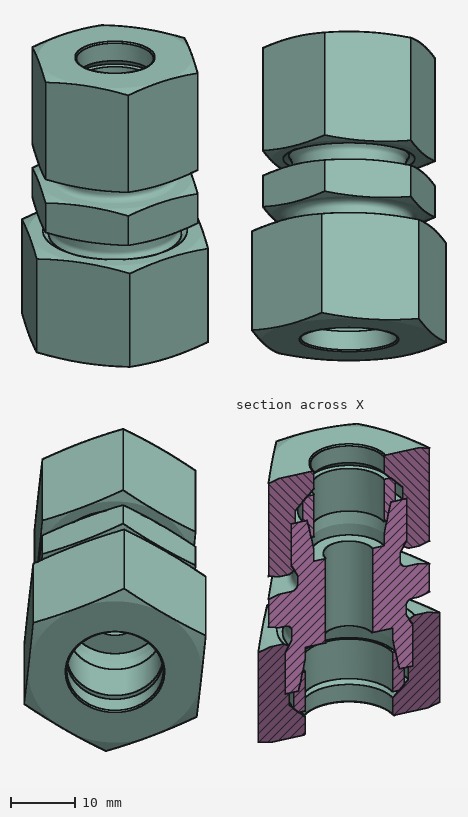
import cadquery as cq
import math


length = 46.5
lower_nut_top = 17.0
hex_bottom = 20.0
hex_top = 26.0
upper_nut_bottom = 29.0

upper_flats = 24.0
lower_flats = 27.0
corner_slope = math.radians(15)

through_bore = 8.0
cone_half_angle = math.radians(12)
arm_length = 12.0
undercut_straight = 1.3
undercut_radius = 1.0
runout_angle = math.radians(30)
socket_depth = 7.5

upper_tube = 12.0
upper_mouth = 14.3
upper_thread = 20.0
upper_nut_thread = 18.35
upper_undercut = 17.7
lower_tube = 15.0
lower_mouth = 17.3
lower_thread = 22.0
lower_nut_thread = 20.35
lower_undercut = 19.7

entry_chamfer = 0.25
mouth_clearance = 0.5
mouth_slope = math.radians(30)
nut_bore_length = 3.2
ring_gap = 1.0
ring_wall = 2.0
ring_nose = 3.25


def revolve(profile):
    """Turn a profile drawn in the XZ plane about the Z axis."""
    return profile.close().revolve(360, (0, 0, 0), (0, 1, 0))


def hexagon(flats, height):
    """Upright hexagonal prism on Z = 0 with both ends turned to a shallow cone."""
    across_corners = flats / math.cos(math.pi / 6)
    corner_radius = across_corners / 2
    flat_radius = flats / 2
    drop = (corner_radius - flat_radius) * math.tan(corner_slope)
    prism = cq.Workplane("XY").polygon(6, across_corners).extrude(height)
    prism = prism.rotate((0, 0, 0), (0, 0, 1), 90)
    envelope = revolve(
        cq.Workplane("XZ")
        .lineTo(flat_radius, 0)
        .lineTo(corner_radius, drop)
        .lineTo(corner_radius, height - drop)
        .lineTo(flat_radius, height)
        .lineTo(0, height)
    )
    return prism.intersect(envelope)


def make_arm(thread, undercut):
    """Threaded arm rising from Z = 0, with an undercut at its root that runs out in a cone."""
    neck = undercut / 2
    crest = thread / 2
    straight_end = undercut_radius + undercut_straight
    root_middle = undercut_radius * (1 - math.sqrt(0.5))

    def runout_point(angle):
        """Point on the upper rounding, where its slope has reached the given angle."""
        out = undercut_radius * (1 - math.cos(angle))
        up = undercut_radius * math.sin(angle)
        return (neck + out, straight_end + up)

    cone_radius, cone_start = runout_point(runout_angle)
    cone_end = cone_start + (crest - cone_radius) / math.tan(runout_angle)
    return revolve(
        cq.Workplane("XZ")
        .lineTo(neck + undercut_radius, 0)
        .threePointArc((neck + root_middle, root_middle), (neck, undercut_radius))
        .lineTo(neck, straight_end)
        .threePointArc(runout_point(runout_angle / 2), (cone_radius, cone_start))
        .lineTo(crest, cone_end)
        .lineTo(crest, arm_length)
        .lineTo(0, arm_length)
    )


def make_socket(tube, mouth):
    """Cutter for the tube socket and sealing cone, in the frame of the arm."""
    cone_length = (mouth - tube) / 2 / math.tan(cone_half_angle)
    return revolve(
        cq.Workplane("XZ")
        .moveTo(0, arm_length - socket_depth)
        .lineTo(tube / 2, arm_length - socket_depth)
        .lineTo(tube / 2, arm_length - cone_length)
        .lineTo(mouth / 2, arm_length)
        .lineTo(0, arm_length)
    )


def point_up(shape, root):
    """Move a shape from the arm frame to an arm that rises from the given level."""
    return shape.translate((0, 0, root))


def point_down(shape, root):
    """Turn a shape from the arm frame to an arm that hangs from the given level."""
    return shape.rotate((0, 0, 0), (1, 0, 0), 180).translate((0, 0, root))


def make_body():
    """Hexagon with a threaded arm at each end, bored through."""
    upper_arm = make_arm(upper_thread, upper_undercut)
    lower_arm = make_arm(lower_thread, lower_undercut)
    upper_socket = make_socket(upper_tube, upper_mouth)
    lower_socket = make_socket(lower_tube, lower_mouth)
    bore = cq.Workplane("XY").circle(through_bore / 2).extrude(length)
    return (
        hexagon(upper_flats, hex_top - hex_bottom)
        .translate((0, 0, hex_bottom))
        .union(point_up(upper_arm, hex_top))
        .union(point_down(lower_arm, hex_bottom))
        .cut(point_up(upper_socket, hex_top))
        .cut(point_down(lower_socket, hex_bottom))
        .cut(bore)
    )


def make_nut(flats, tube, nut_thread, thread, undercut, near, far):
    """Union nut between two heights of the arm frame, hollowed to fit the threaded arm.

    The mouth is a shallow cone and the seat for the ring a 45 degree cone.
    """
    bore = tube / 2
    crest = nut_thread / 2
    mouth = (thread + mouth_clearance) / 2
    mouth_depth = (mouth - crest) * math.tan(mouth_slope)
    seat_start = far - nut_bore_length
    opening = revolve(
        cq.Workplane("XZ")
        .moveTo(0, near)
        .lineTo(mouth, near)
        .lineTo(crest, near + mouth_depth)
        .lineTo(crest, seat_start - (crest - bore))
        .lineTo(bore, seat_start)
        .lineTo(bore, far - entry_chamfer)
        .lineTo(bore + entry_chamfer, far)
        .lineTo(0, far)
    )
    blank = hexagon(flats, far - near).translate((0, 0, near))
    return blank.cut(opening).cut(make_arm(thread, undercut))


def make_ring(tube, mouth, far):
    """Cutting ring held between the seat of the nut and the sealing cone of the body."""
    inner = tube / 2
    outer = inner + ring_wall
    seat_start = far - nut_bore_length
    back = seat_start - ring_gap
    nose = arm_length - ring_nose
    nose_radius = mouth / 2 - ring_nose * math.tan(cone_half_angle)
    return revolve(
        cq.Workplane("XZ")
        .moveTo(inner, nose)
        .lineTo(nose_radius, nose)
        .lineTo(mouth / 2, arm_length)
        .lineTo(outer, arm_length)
        .lineTo(outer, seat_start - ring_wall)
        .lineTo(inner + ring_gap, back)
        .lineTo(inner, back)
    )


upper_near = upper_nut_bottom - hex_top
upper_far = length - hex_top
lower_near = hex_bottom - lower_nut_top
lower_far = hex_bottom

body = make_body()
upper_nut = point_up(
    make_nut(
        upper_flats, upper_tube, upper_nut_thread, upper_thread, upper_undercut, upper_near, upper_far
    ),
    hex_top,
)
lower_nut = point_down(
    make_nut(
        lower_flats, lower_tube, lower_nut_thread, lower_thread, lower_undercut, lower_near, lower_far
    ),
    hex_bottom,
)
upper_ring = point_up(make_ring(upper_tube, upper_mouth, upper_far), hex_top)
lower_ring = point_down(make_ring(lower_tube, lower_mouth, lower_far), hex_bottom)

result = cq.Compound.makeCompound(
    [body.val(), upper_nut.val(), lower_nut.val(), upper_ring.val(), lower_ring.val()]
)